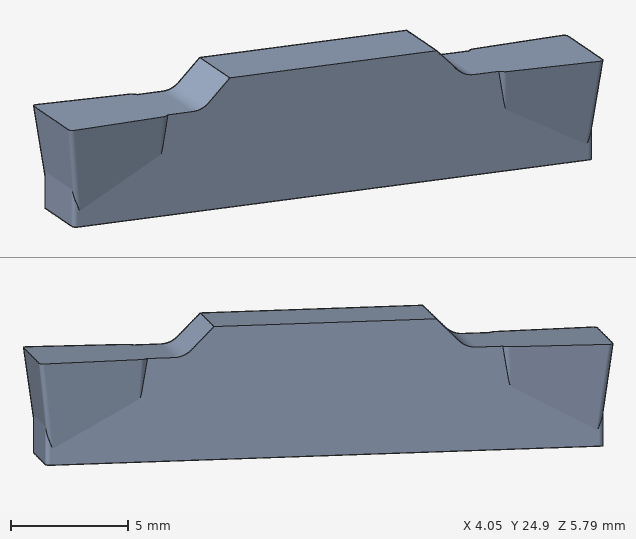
import cadquery as cq
import math

overall_length = 24.94
overall_height = 5.79

bar_width = 3.2
bar_corner_radius = 0.2

seat_height = 4.5
ridge_length = 9.66
ramp_angle = math.radians(45)
ramp_blend_radius = 1.05

edge_width = 4.05
head_length = 4.52
head_back_run = 0.23
head_taper = math.radians(3.25)
side_clearance_degrees = 6.0
front_clearance = math.radians(7)
front_face_height = 2.85
head_front_radius = 0.2
head_back_radius = 0.2

front_allowance = 1.0

half_length = overall_length / 2
front_setback = front_face_height * math.tan(front_clearance)
bar_half_length = half_length - front_setback


def make_bar():
    """Bar with its base at z = 0 and its raised middle centred on the origin."""
    half_ridge = ridge_length / 2
    blend_rise = ramp_blend_radius * (1 - math.cos(ramp_angle))
    ramp_rise = overall_height - seat_height - blend_rise
    ramp_foot_y = half_ridge + ramp_rise / math.tan(ramp_angle)
    ramp_foot_z = seat_height + blend_rise
    seat_end_y = ramp_foot_y + ramp_blend_radius * math.sin(ramp_angle)
    blend_mid_y = seat_end_y - ramp_blend_radius * math.sin(ramp_angle / 2)
    blend_mid_z = seat_height + ramp_blend_radius * (1 - math.cos(ramp_angle / 2))

    profile = (
        cq.Workplane("YZ", origin=(-bar_width / 2, 0, 0))
        .moveTo(-bar_half_length, 0)
        .lineTo(bar_half_length, 0)
        .lineTo(bar_half_length, seat_height)
        .lineTo(seat_end_y, seat_height)
        .threePointArc((blend_mid_y, blend_mid_z), (ramp_foot_y, ramp_foot_z))
        .lineTo(half_ridge, overall_height)
        .lineTo(-half_ridge, overall_height)
        .lineTo(-ramp_foot_y, ramp_foot_z)
        .threePointArc((-blend_mid_y, blend_mid_z), (-seat_end_y, seat_height))
        .lineTo(-bar_half_length, seat_height)
        .close()
    )
    return profile.extrude(bar_width).edges("|Z").fillet(bar_corner_radius)


def make_head_flanks():
    """Tapering head at the -Y end, with side clearance, reaching past the front face."""
    corner_setback = head_front_radius * math.tan((math.pi / 2 - head_taper) / 2)
    sharp_half = edge_width / 2 + corner_setback * math.tan(head_taper)
    front_half = sharp_half + front_allowance * math.tan(head_taper)
    back_half = sharp_half - head_length * math.tan(head_taper)
    neck_half = bar_width / 2
    front_y = -half_length - front_allowance
    back_y = -half_length + head_length

    buried_half = neck_half / 2
    back_slope = head_back_run / (back_half - neck_half)
    buried_y = back_y + (back_half - buried_half) * back_slope

    right_side = [(front_half, front_y), (back_half, back_y), (buried_half, buried_y)]
    left_side = [(-x, y) for x, y in reversed(right_side)]
    return (
        cq.Workplane("XY", origin=(0, 0, seat_height))
        .polyline(right_side + left_side)
        .close()
        .extrude(-seat_height, taper=side_clearance_degrees)
    )


def make_front_trim():
    """Block with the front clearance face on its -Y side, long enough to span the head."""
    base_y = -half_length + seat_height * math.tan(front_clearance)
    return (
        cq.Workplane("YZ")
        .polyline([(-half_length, seat_height), (base_y, 0), (0, 0), (0, seat_height)])
        .close()
        .extrude(edge_width, both=True)
    )


def make_head():
    """Head at the -Y end: widest at its top front edge, every side leaning inward below."""
    head = make_head_flanks().intersect(make_front_trim())

    side_edges = sorted(head.edges("not(#Z)").vals(), key=lambda edge: edge.Center().y)
    rounded = head.val().fillet(head_front_radius, side_edges[:2])
    rounded = rounded.fillet(head_back_radius, side_edges[2:4])
    return cq.Workplane(rounded)


front_head = make_head()
back_head = front_head.mirror("XZ")
result = make_bar().union(front_head).union(back_head)